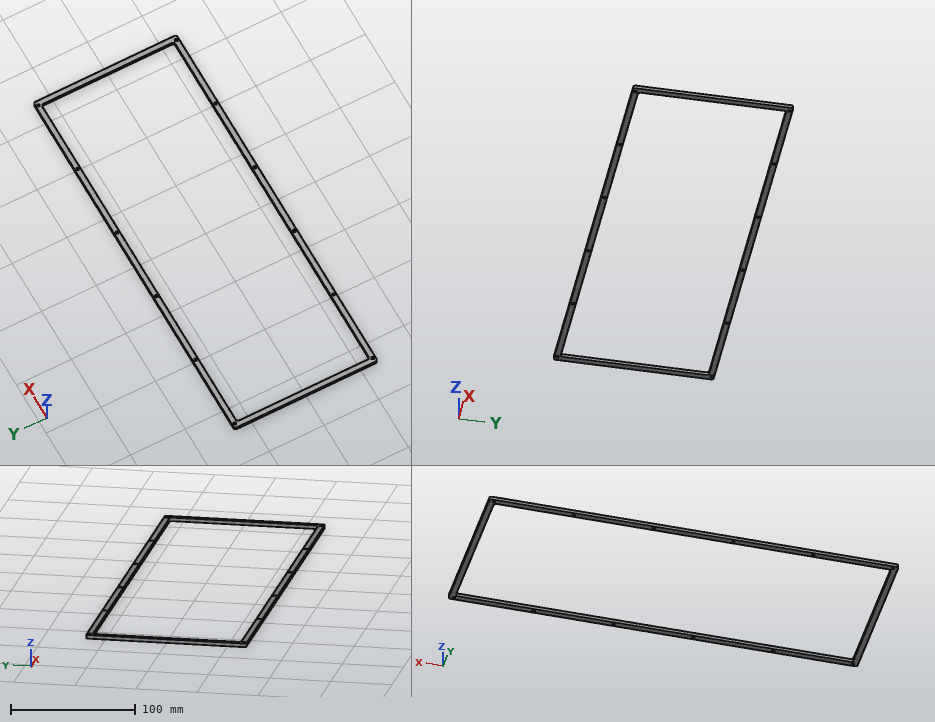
import cadquery as cq

length = 340.0
width = 131.0
thickness = 3.0

bar_width = 4.8
outer_corner_radius = 2.0
inner_corner_radius = 2.0

hole_diameter = 2.2
holes_per_bar = 6
hole_end_inset = 4.0
hole_pitch = (length - 2 * hole_end_inset) / (holes_per_bar - 1)
hole_side_inset = 2.5
hole_row_spacing = width - 2 * hole_side_inset


def rounded_plate(size_x, size_y, corner_radius):
    """Flat plate on Z = 0 with rounded vertical edges."""
    plate = cq.Workplane("XY").box(size_x, size_y, thickness, centered=(True, True, False))
    return plate.edges("|Z").fillet(corner_radius)


outer_plate = rounded_plate(length, width, outer_corner_radius)
opening = rounded_plate(length - 2 * bar_width, width - 2 * bar_width, inner_corner_radius)
frame = outer_plate.cut(opening)

screw_holes = (
    cq.Workplane("XY")
    .rarray(hole_pitch, hole_row_spacing, holes_per_bar, 2)
    .circle(hole_diameter / 2)
    .extrude(thickness)
)

result = frame.cut(screw_holes)